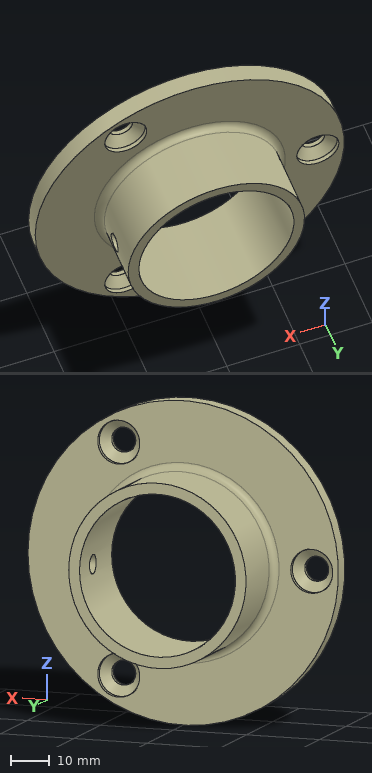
import cadquery as cq

flange_diameter = 85.0
flange_thickness = 5.0
total_length = 24.5
hub_diameter = 48.5
bore_diameter = 42.6
fillet_radius = 2.0

bolt_hole_diameter = 6.5
bolt_circle_diameter = 70.4
bolt_hole_count = 3
head_diameter = 11.5
head_recess_depth = 1.2

set_screw_hole_diameter = 5.0
set_screw_setback = 10.0

hub_length = total_length - flange_thickness
set_screw_offset = total_length - set_screw_setback


def make_flanged_hub():
    """Disc flange with a hub on its +Y side, filleted where they meet."""
    flange = cq.Workplane("XZ").circle(flange_diameter / 2).extrude(-flange_thickness)
    hub = (
        cq.Workplane("XZ", origin=(0, flange_thickness, 0))
        .circle(hub_diameter / 2)
        .extrude(-hub_length)
    )
    root_edge = cq.selectors.BoxSelector(
        (-hub_diameter, flange_thickness - fillet_radius / 2, -hub_diameter),
        (hub_diameter, flange_thickness + fillet_radius / 2, hub_diameter),
        boundingbox=False,
    )
    body = flange.union(hub)
    return body.edges(root_edge).edges(cq.selectors.RadiusNthSelector(0)).fillet(fillet_radius)


def make_bore():
    """Through bore along the axis."""
    return cq.Workplane("XZ").circle(bore_diameter / 2).extrude(-total_length)


def make_bolt_holes():
    """Countersunk bolt holes, evenly spaced, with sunk heads on the +Y face of the flange."""
    bolt_radius = bolt_hole_diameter / 2
    head_radius = head_diameter / 2
    cone_start = flange_thickness - head_recess_depth - (head_radius - bolt_radius)
    cone_end = flange_thickness - head_recess_depth
    cutter = (
        cq.Workplane("XY")
        .polyline([
            (0, 0),
            (bolt_radius, 0),
            (bolt_radius, cone_start),
            (head_radius, cone_end),
            (head_radius, flange_thickness),
            (0, flange_thickness),
        ])
        .close()
        .revolve(360, (0, 0, 0), (0, 1, 0))
        .translate((-bolt_circle_diameter / 2, 0, 0))
    )
    holes = cq.Workplane("XZ")
    for index in range(bolt_hole_count):
        angle = index * 360 / bolt_hole_count
        holes = holes.add(cutter.rotate((0, 0, 0), (0, 1, 0), angle))
    return holes.combine()


def make_set_screw_hole():
    """Radial hole through the +X wall of the hub."""
    return (
        cq.Workplane("YZ")
        .center(set_screw_offset, 0)
        .circle(set_screw_hole_diameter / 2)
        .extrude(hub_diameter / 2)
    )


result = (
    make_flanged_hub()
    .cut(make_bore())
    .cut(make_bolt_holes())
    .cut(make_set_screw_hole())
)